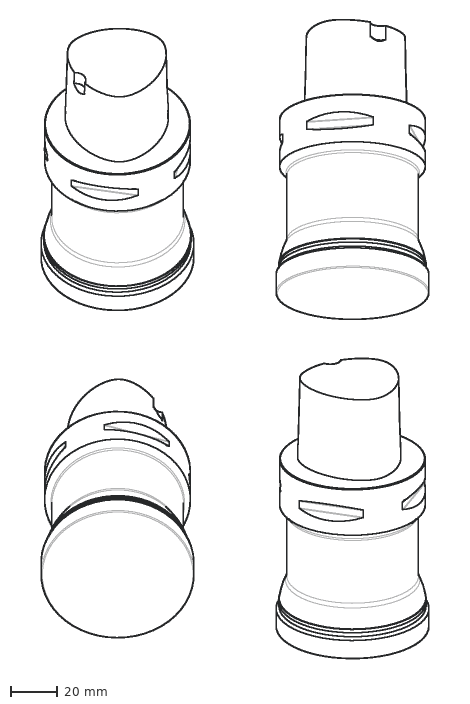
import cadquery as cq
import math

TOTAL_HEIGHT = 118.0
SHANK_HEIGHT = 37.9
COLLAR_TOP = TOTAL_HEIGHT - SHANK_HEIGHT

RING_RADIUS = 66.1 / 2
RING_HEIGHT = 10.0
RING_BOTTOM_FILLET = 0.5
RING_ROUND_FULLNESS = 0.6
SPIGOT_RADIUS = 63.6 / 2
SPIGOT_TOP = 11.9

BAND_TOP = 13.5
BAND_STEP = 0.2
BELL_BOTTOM = BAND_TOP + BAND_STEP
BELL_TOP = 22.5
BELL_TOP_RADIUS = 29.0
BELL_BULGE = 0.4
NECK_RADIUS = 57.0 / 2
NECK_BOTTOM = 24.5
NECK_TOP = 54.4
CONE_BOTTOM = 55.5
CONE_BOTTOM_RADIUS = 28.9
COLLAR_BOTTOM = 58.2
COLLAR_RADIUS = 63.0 / 2
COLLAR_CHAMFER = 0.4
BLEND_SAG = 0.1

SLOT_COUNT = 4
SLOT_START_ANGLE = 45.0
SLOT_LENGTH = 29.4
SLOT_FLOOR_HEIGHT = 3.5
SLOT_MID_Z = 68.2
SLOT_FLANK_ANGLE = 30.0
SLOT_FLOOR_FILLET = 0.4
SLOT_CLEARANCE = 1.2

SHANK_TOP_RADIUS = 21.4
SHANK_TAPER = 1 / 40
SHANK_BASE_RADIUS = SHANK_TOP_RADIUS + SHANK_TAPER * SHANK_HEIGHT
LOBE_SIZE = 1.4
OUTLINE_POINTS = 48
LOBE_ANGLE = math.pi / 2

NOTCH_RADIUS = 4.6
NOTCH_AXIS_Y = -22.0
NOTCH_DEPTH = 6.5
DRILL_POINT_ANGLE = 118.0


def make_ring():
    """Rounded end ring with a short spigot that seats the holder."""
    ledge = RING_RADIUS - SPIGOT_RADIUS
    shoulder_z = RING_HEIGHT - ledge
    round_mid = ledge * RING_ROUND_FULLNESS
    return (
        cq.Workplane("XZ")
        .lineTo(RING_RADIUS, 0)
        .lineTo(RING_RADIUS, shoulder_z)
        .threePointArc((SPIGOT_RADIUS + round_mid, shoulder_z + round_mid), (SPIGOT_RADIUS, RING_HEIGHT))
        .lineTo(SPIGOT_RADIUS, SPIGOT_TOP)
        .lineTo(0, SPIGOT_TOP)
        .close()
        .revolve(360, (0, 0, 0), (0, 1, 0))
        .faces("<Z")
        .edges()
        .fillet(RING_BOTTOM_FILLET)
    )


def make_turned_body():
    """Bell, neck and collar, revolved about Z."""
    bell_mid_radius = (SPIGOT_RADIUS + BELL_TOP_RADIUS) / 2 + BELL_BULGE
    bell_mid_z = (BELL_BOTTOM + BELL_TOP) / 2
    lower_blend_radius = (BELL_TOP_RADIUS + NECK_RADIUS) / 2 - BLEND_SAG
    lower_blend_z = (BELL_TOP + NECK_BOTTOM) / 2
    upper_blend_radius = (CONE_BOTTOM_RADIUS + NECK_RADIUS) / 2 - BLEND_SAG
    upper_blend_z = (NECK_TOP + CONE_BOTTOM) / 2
    return (
        cq.Workplane("XZ")
        .moveTo(0, SPIGOT_TOP)
        .lineTo(SPIGOT_RADIUS, SPIGOT_TOP)
        .lineTo(SPIGOT_RADIUS, BAND_TOP)
        .lineTo(SPIGOT_RADIUS - BAND_STEP, BAND_TOP)
        .lineTo(SPIGOT_RADIUS, BELL_BOTTOM)
        .threePointArc((bell_mid_radius, bell_mid_z), (BELL_TOP_RADIUS, BELL_TOP))
        .threePointArc((lower_blend_radius, lower_blend_z), (NECK_RADIUS, NECK_BOTTOM))
        .lineTo(NECK_RADIUS, NECK_TOP)
        .threePointArc((upper_blend_radius, upper_blend_z), (CONE_BOTTOM_RADIUS, CONE_BOTTOM))
        .lineTo(COLLAR_RADIUS, COLLAR_BOTTOM)
        .lineTo(COLLAR_RADIUS, COLLAR_TOP - COLLAR_CHAMFER)
        .lineTo(COLLAR_RADIUS - COLLAR_CHAMFER, COLLAR_TOP)
        .lineTo(0, COLLAR_TOP)
        .close()
        .revolve(360, (0, 0, 0), (0, 1, 0))
    )


def shank_outline(mean_radius, z):
    """Closed three-lobed constant-width curve at height z."""

    def point(t):
        along = mean_radius * math.cos(t) + LOBE_SIZE * (2 * math.cos(2 * t) - math.cos(4 * t))
        across = mean_radius * math.sin(t) - LOBE_SIZE * (2 * math.sin(2 * t) + math.sin(4 * t))
        c = math.cos(LOBE_ANGLE)
        s = math.sin(LOBE_ANGLE)
        return cq.Vector(along * c - across * s, along * s + across * c, z)

    points = [point(2 * math.pi * i / OUTLINE_POINTS) for i in range(OUTLINE_POINTS)]
    return cq.Wire.assembleEdges([cq.Edge.makeSpline(points, periodic=True)])


def make_shank():
    base = shank_outline(SHANK_BASE_RADIUS, COLLAR_TOP)
    top = shank_outline(SHANK_TOP_RADIUS, TOTAL_HEIGHT)
    return cq.Workplane(cq.Solid.makeLoft([base, top], True))


def make_slot_cutter(angle):
    """Gripper slot with a flat floor and flanks that flare outwards."""
    floor_distance = math.sqrt(COLLAR_RADIUS**2 - (SLOT_LENGTH / 2) ** 2)
    mouth_distance = COLLAR_RADIUS + SLOT_CLEARANCE
    half_floor = SLOT_FLOOR_HEIGHT / 2
    flare = (mouth_distance - floor_distance) * math.tan(math.radians(SLOT_FLANK_ANGLE))
    section = [
        (floor_distance, SLOT_MID_Z - half_floor),
        (mouth_distance, SLOT_MID_Z - half_floor - flare),
        (mouth_distance, SLOT_MID_Z + half_floor + flare),
        (floor_distance, SLOT_MID_Z + half_floor),
    ]
    cutter = cq.Workplane("XZ").polyline(section).close().extrude(COLLAR_RADIUS, both=True)
    cutter = cutter.faces("<X").edges("|Y").fillet(SLOT_FLOOR_FILLET)
    return cutter.rotate((0, 0, 0), (0, 0, 1), angle)


def make_notch_cutter():
    """Drill-shaped cutter: a cylinder ending in a conical point."""
    shoulder_z = TOTAL_HEIGHT - NOTCH_DEPTH
    point_depth = NOTCH_RADIUS / math.tan(math.radians(DRILL_POINT_ANGLE / 2))
    section = [
        (0, shoulder_z - point_depth),
        (NOTCH_RADIUS, shoulder_z),
        (NOTCH_RADIUS, TOTAL_HEIGHT),
        (0, TOTAL_HEIGHT),
    ]
    drill = cq.Workplane("XZ").polyline(section).close().revolve(360, (0, 0, 0), (0, 1, 0))
    return drill.translate((0, NOTCH_AXIS_Y, 0))


def make_holder():
    body = make_turned_body().union(make_shank())
    for i in range(SLOT_COUNT):
        body = body.cut(make_slot_cutter(SLOT_START_ANGLE + i * 360 / SLOT_COUNT))
    return body.cut(make_notch_cutter())


ring = make_ring()
holder = make_holder()

result = cq.Compound.makeCompound([ring.val(), holder.val()])